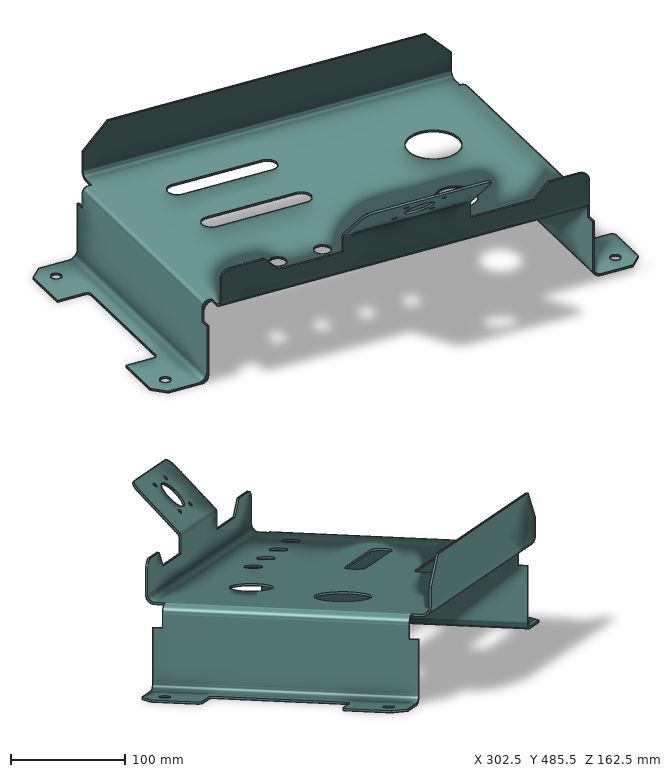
import cadquery as cq
import math

sheet = 2.0
inner_bend = 7.0
length = 485.5
height = 162.5

deck_width = 258.5
deck_length = 366.5
deck_top = 78.0
left_flange_top = 128.0
left_flange_chamfer = 25.2

tab_angle = 45.0
tab_bend_z = 117.5
tab_inner_bend = 5.0
tab_width = 126.5
tab_y = 1.5
tab_corner = 9.5
opening_width = 2 * tab_width
opening_z = 101.0
ear_top = 115.5
ear_corner = 9.5

tab_bore = 27.5
tab_screw = 4.5
tab_screw_pitch_slope = 31.5
tab_screw_pitch_y = 37.5
tab_bore_x = 152.0

leg_span = 385.5
foot_width = 241.0
neck_width = 223.5
neck_bottom = 57.5
foot_chamfer = 11.5
foot_gap_width = 127.0
foot_gap_depth = 31.5
foot_gap_corner = 4.0
foot_toe_corner = 4.5
foot_hole = 10.0
foot_hole_pitch_x = 203.0
foot_hole_pitch_y = 447.5

round_openings = [((-31.5, 114.0), 50.0), ((58.0, 89.0), 38.5)]
slot_xs = (-69.5, -6.0)
slot_y = -75.5
slot_length = 108.3
slot_width = 19.0
row_hole = 16.0
row_x = 82.0
row_first_y = -12.5
row_length = 133.5
row_count = 4

row_pitch = row_length / (row_count - 1)
deck_mid_z = deck_top - sheet / 2
flange_mid_x = (deck_width - sheet) / 2
leg_mid_y = (leg_span - sheet) / 2
deck_end = deck_length / 2
tilt = math.radians(tab_angle)
tab_tip_z = height - sheet / 2 * math.cos(tilt)
tab_tip_x = flange_mid_x + (tab_tip_z - tab_bend_z) / math.tan(tilt)
clearance = 5.0


def bent_sheet(plane, path, concave_radii, width):
    """Sheet along a mid-surface path, centred on the plane, with one concave radius per corner."""
    headings = [math.atan2(b[1] - a[1], b[0] - a[0]) for a, b in zip(path, path[1:])]
    left, right, bends = [], [], []
    radii = iter(concave_radii)
    for i, (u, v) in enumerate(path):
        before = headings[max(i - 1, 0)]
        after = headings[min(i, len(headings) - 1)]
        turn = after - before
        reach = sheet / 2 / math.cos(turn / 2)
        normal = (before + after + math.pi) / 2
        du = reach * math.cos(normal)
        dv = reach * math.sin(normal)
        left.append((u + du, v + dv))
        right.append((u - du, v - dv))
        if turn:
            concave, convex = (left, right) if turn > 0 else (right, left)
            radius = next(radii)
            bends += [(concave[-1], radius), (convex[-1], radius + sheet)]
    work = cq.Workplane(plane)
    body = work.polyline(left + right[::-1]).close().extrude(width / 2, both=True)
    for corner, radius in bends:
        place = work.plane.toWorldCoords(corner).toTuple()
        body = body.edges(cq.selectors.NearestToPointSelector(place)).fillet(radius)
    return body


def deck():
    """Flat deck, the left flange, and the right flange running on into the tilted tab."""
    path = [
        (-flange_mid_x, left_flange_top),
        (-flange_mid_x, deck_mid_z),
        (flange_mid_x, deck_mid_z),
        (flange_mid_x, tab_bend_z),
        (tab_tip_x, tab_tip_z),
    ]
    return bent_sheet("XZ", path, [inner_bend, inner_bend, tab_inner_bend], deck_length)


def left_flange_corners():
    """The chamfered-off corners of the left flange."""
    lower_z = left_flange_top - left_flange_chamfer
    cutter = cq.Workplane("YZ", origin=(-deck_width / 2 - clearance, 0, 0))
    for end in (-deck_end, deck_end):
        inner_y = math.copysign(deck_end - left_flange_chamfer, end)
        corner = [(inner_y, left_flange_top), (end, left_flange_top), (end, lower_z)]
        cutter = cutter.polyline(corner).close()
    return cutter.extrude(sheet + 2 * clearance)


def right_flange_trim(side):
    """Everything above the opening and the ear on one side (+1 or -1) of the tab."""
    tab_edge = tab_y + side * tab_width / 2
    opening_edge = tab_y + side * opening_width / 2
    ear_start = opening_edge + side * (ear_top - opening_z)
    end = side * deck_end
    bevel = ear_corner * (1 - math.sqrt(0.5))
    return (
        cq.Workplane("YZ", origin=(deck_width / 2 - clearance, 0, 0))
        .moveTo(tab_edge, opening_z)
        .lineTo(opening_edge, opening_z)
        .lineTo(ear_start, ear_top)
        .lineTo(end - side * ear_corner, ear_top)
        .threePointArc((end - side * bevel, ear_top - bevel), (end, ear_top - ear_corner))
        .lineTo(end + side * clearance, ear_top - ear_corner)
        .lineTo(end + side * clearance, height + clearance)
        .lineTo(tab_edge, height + clearance)
        .close()
        .extrude(tab_tip_x)
    )


def tab_plane(x):
    """Workplane on the tab's mid-surface at a given x; local x runs up the slope, local y along +Y."""
    z = tab_bend_z + (x - flange_mid_x) * math.tan(tilt)
    up_slope = (math.cos(tilt), 0, math.sin(tilt))
    normal = (-math.sin(tilt), 0, math.cos(tilt))
    return cq.Workplane(cq.Plane(origin=(x, tab_y, z), xDir=up_slope, normal=normal))


def tab_holes():
    """Central bore and four screw holes through the tab."""
    bore = tab_plane(tab_bore_x).circle(tab_bore / 2).extrude(clearance, both=True)
    screws = (
        tab_plane(tab_bore_x)
        .rarray(tab_screw_pitch_slope, tab_screw_pitch_y, 2, 2)
        .circle(tab_screw / 2)
        .extrude(clearance, both=True)
    )
    return bore.union(screws)


def round_tab_corners(body):
    """Round the two free corners of the tab."""
    for side in (-1, 1):
        corner = (tab_tip_x, tab_y + side * tab_width / 2, tab_tip_z)
        body = body.edges(cq.selectors.NearestToPointSelector(corner)).fillet(tab_corner)
    return body


def deck_openings():
    """Round openings, slots and the row of holes through the deck."""
    cutter = cq.Workplane(origin=(0, 0, deck_mid_z))
    for centre, diameter in round_openings:
        cutter = cutter.moveTo(*centre).circle(diameter / 2)
    for i in range(row_count):
        cutter = cutter.moveTo(row_x, row_first_y - i * row_pitch).circle(row_hole / 2)
    cutter = cutter.pushPoints([(x, slot_y) for x in slot_xs]).slot2D(slot_length, slot_width, 90)
    return cutter.extrude(clearance, both=True)


def leg(side):
    """Leg and foot on one side (+1 or -1): from the deck edge, down, and outward."""
    path = [
        (side * (deck_end - clearance), deck_mid_z),
        (side * leg_mid_y, deck_mid_z),
        (side * leg_mid_y, sheet / 2),
        (side * length / 2, sheet / 2),
    ]
    return bent_sheet("YZ", path, [inner_bend, inner_bend], foot_width)


def neck_reliefs():
    """Blocks that narrow the tops of the legs to the neck width."""
    block_width = (foot_width - neck_width) / 2 + clearance
    return (
        cq.Workplane(origin=(0, 0, neck_bottom))
        .rarray(neck_width + block_width, length, 2, 2)
        .rect(block_width, length)
        .extrude(deck_top)
    )


def foot_outline(side):
    """Prism with the outline of one foot as seen from above; it bounds the leg as well."""
    toe = side * length / 2
    outline = (
        cq.Workplane("XY")
        .center(0, side * length / 4)
        .rect(foot_width, length / 2)
        .extrude(deck_top)
    )
    outer_end = ">Y" if side > 0 else "<Y"
    outline = outline.faces(outer_end).edges("|Z").chamfer(foot_chamfer)
    gap = (
        cq.Workplane("XY")
        .center(0, toe)
        .rect(foot_gap_width, 2 * foot_gap_depth)
        .extrude(deck_top)
        .edges("|Z")
        .fillet(foot_gap_corner)
    )
    outline = outline.cut(gap)
    if side > 0:
        for x in (-foot_gap_width / 2, foot_gap_width / 2):
            toe_corner = (x, toe, deck_top / 2)
            outline = outline.edges(cq.selectors.NearestToPointSelector(toe_corner)).fillet(foot_toe_corner)
    return outline


def foot_holes():
    """Mounting holes through the feet."""
    return (
        cq.Workplane("XY")
        .rarray(foot_hole_pitch_x, foot_hole_pitch_y, 2, 2)
        .circle(foot_hole / 2)
        .extrude(sheet)
    )


bracket = deck().cut(left_flange_corners())
for side in (-1, 1):
    bracket = bracket.cut(right_flange_trim(side))
bracket = round_tab_corners(bracket).cut(tab_holes()).cut(deck_openings())

for side in (-1, 1):
    trimmed_leg = leg(side).intersect(foot_outline(side)).cut(neck_reliefs())
    bracket = bracket.union(trimmed_leg)

result = bracket.cut(foot_holes())